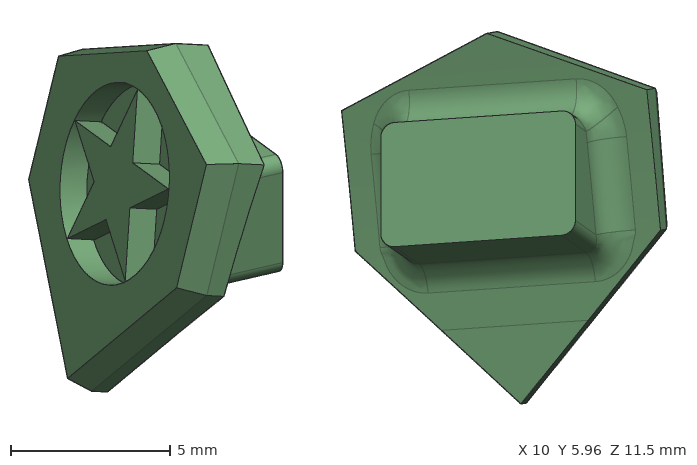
import cadquery as cq
import math


LEAN_ANGLE = 15.0
HALF_WIDTH = 5.02
APEX_U = 4.48
SHOULDER_U = 2.36
HIP_U = -2.08
POINT_U = -7.23
FRONT_W = 4.335
BEVEL_DEPTH = 1.0
BEVEL_ANGLE = 15.0
BEVEL_BASE_W = FRONT_W - BEVEL_DEPTH

FLAT_THICKNESS = 1.59
HOLLOW_RADIUS = 70.0
HOLLOW_START_U = -4.75
BACK_FLAT_W = FRONT_W - FLAT_THICKNESS
BACK_MARGIN = 1.0

RECESS_RADIUS = 3.19
RECESS_DEPTH = 1.0
RECESS_U = -0.29
STAR_RADIUS = 3.16
STAR_POINTS = 5
STAR_INNER_RADIUS = STAR_RADIUS * math.cos(2 * math.pi / STAR_POINTS) / math.cos(math.pi / STAR_POINTS)

POST_WIDTH = 6.4
POST_HEIGHT = 4.0
POST_CORNER_RADIUS = 0.45
POST_REACH = 6.0
POST_ROOT_FILLET = 1.0
ROOT_SEARCH_MARGIN = 0.2


def leaning_plane(w):
    """Plane parallel to the plate front, at distance w along the plate normal."""
    lean = math.radians(LEAN_ANGLE)
    normal = cq.Vector(0, -math.cos(lean), math.sin(lean))
    return cq.Plane(origin=(normal * w).toTuple(), xDir=(1, 0, 0), normal=normal.toTuple())


def plate_outline(w):
    return cq.Workplane(leaning_plane(w)).polyline([
        (0, APEX_U),
        (HALF_WIDTH, SHOULDER_U),
        (HALF_WIDTH, HIP_U),
        (0, POINT_U),
        (-HALF_WIDTH, HIP_U),
        (-HALF_WIDTH, SHOULDER_U),
    ]).close()


def hollow_w(u):
    """Height w of the hollowed back at u, measured on the hollow's arc."""
    run = u - HOLLOW_START_U
    return BACK_FLAT_W - HOLLOW_RADIUS + math.sqrt(HOLLOW_RADIUS**2 - run**2)


def back_cutter():
    """Everything behind the plate's back surface, swept across the full width."""
    top_u = APEX_U + BACK_MARGIN
    bottom_u = POINT_U - BACK_MARGIN
    middle_u = (HOLLOW_START_U + top_u) / 2
    base = leaning_plane(0)
    section = cq.Plane(origin=(0, 0, 0), xDir=base.yDir.toTuple(), normal=(1, 0, 0))
    return (
        cq.Workplane(section)
        .moveTo(bottom_u, 0)
        .lineTo(bottom_u, BACK_FLAT_W)
        .lineTo(HOLLOW_START_U, BACK_FLAT_W)
        .threePointArc((middle_u, hollow_w(middle_u)), (top_u, hollow_w(top_u)))
        .lineTo(top_u, 0)
        .close()
        .extrude(HALF_WIDTH + BACK_MARGIN, both=True)
    )


def make_plate():
    body = plate_outline(0).extrude(BEVEL_BASE_W)
    bevel = plate_outline(BEVEL_BASE_W).extrude(BEVEL_DEPTH, taper=BEVEL_ANGLE)
    return body.cut(back_cutter()).union(bevel)


def make_post():
    post = (
        cq.Workplane("XZ")
        .rect(POST_WIDTH, POST_HEIGHT)
        .extrude(POST_REACH)
        .edges("|Y")
        .fillet(POST_CORNER_RADIUS)
    )
    beyond_plate = plate_outline(BEVEL_BASE_W).extrude(POST_REACH)
    return post.cut(beyond_plate)


def root_edges(body):
    """Edges where the post meets the plate back, found in a box that clears the rear face."""
    margin = ROOT_SEARCH_MARGIN
    return body.edges(
        cq.selectors.BoxSelector(
            (-POST_WIDTH / 2 - margin, -POST_REACH, -POST_HEIGHT / 2 - margin),
            (POST_WIDTH / 2 + margin, -margin, POST_HEIGHT / 2 + margin),
            boundingbox=True,
        )
    ).edges("not |Y")


def star_tips_and_corners():
    points = []
    for i in range(2 * STAR_POINTS):
        radius = STAR_INNER_RADIUS if i % 2 else STAR_RADIUS
        angle = math.pi / 2 + i * math.pi / STAR_POINTS
        points.append((radius * math.cos(angle), RECESS_U + radius * math.sin(angle)))
    return points


def make_recess():
    """Round recess that leaves a star standing flush with the plate front."""
    floor = leaning_plane(FRONT_W - RECESS_DEPTH)
    disc = cq.Workplane(floor).center(0, RECESS_U).circle(RECESS_RADIUS).extrude(RECESS_DEPTH)
    star = cq.Workplane(floor).polyline(star_tips_and_corners()).close().extrude(RECESS_DEPTH)
    return disc.cut(star)


body = make_plate().union(make_post())
body = root_edges(body).fillet(POST_ROOT_FILLET)
result = body.cut(make_recess())